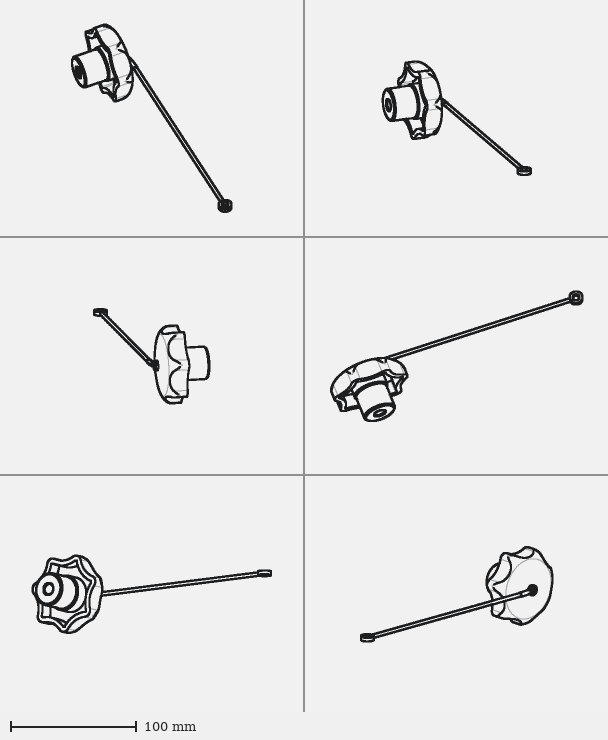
import cadquery as cq
import math


lobe_count = 7
head_radius = 31.5
lobe_radius = 5.0
scallop_radius = 20.0
crown_height = 19.0
dome_radius = 80.0
shoulder_radius = 10.0

wall = 4.0
pocket_depth = 11.0

hub_diameter = 26.0
hub_root_diameter = 28.0
hub_length = 21.0
hub_root_taper = 1.2
hub_chamfer = 1.2
bore_diameter = 8.38
bore_mouth_diameter = 10.0
bore_depth = 20.0

rivet_head_diameter = 8.0
rivet_head_top = 21.0
rivet_head_chamfer = 0.4
rivet_collar_diameter = 5.3
rivet_collar_top = 21.5

wire_diameter = 3.0
wire_y = 22.0
bend_radius = 65.0
bend_start_x = 15.3
bend_end_x = 0.0
sleeve_diameter = 3.5
sleeve_end_x = 4.6
eye_x = 180.8
eye_outer_diameter = 10.38
eye_hole_diameter = 5.3


def polar(radius, angle):
    """Point in the XZ plane; the angle is measured from +X toward +Z."""
    return (radius * math.cos(angle), radius * math.sin(angle))


def face_plane(y):
    """Plane at height y whose local axes are X and Z and whose normal is -Y."""
    return cq.Workplane("XZ", origin=(0, y, 0))


def disc(diameter, y_low, y_high):
    return face_plane(y_high).circle(diameter / 2).extrude(y_high - y_low)


def star_outline(y):
    """Rounded lobes joined by tangent scallops, with one lobe pointing to -Z."""
    pitch = 2 * math.pi / lobe_count
    lobe_centre = head_radius - lobe_radius
    half_span = lobe_centre * math.sin(pitch / 2)
    centre_gap = scallop_radius + lobe_radius
    scallop_centre = lobe_centre * math.cos(pitch / 2) + math.sqrt(centre_gap**2 - half_span**2)
    valley_radius = scallop_centre - scallop_radius

    def tangent_point(valley_angle, side):
        lobe = polar(lobe_centre, valley_angle + side * pitch / 2)
        scallop = polar(scallop_centre, valley_angle)
        share = lobe_radius / centre_gap
        return tuple(a + share * (b - a) for a, b in zip(lobe, scallop))

    first_lobe = -math.pi / 2
    outline = face_plane(y).moveTo(*tangent_point(first_lobe - pitch / 2, 1))
    for index in range(lobe_count):
        lobe_angle = first_lobe + index * pitch
        valley_angle = lobe_angle + pitch / 2
        outline = outline.threePointArc(polar(head_radius, lobe_angle), tangent_point(valley_angle, -1))
        outline = outline.threePointArc(polar(valley_radius, valley_angle), tangent_point(valley_angle, 1))
    return outline.close()


def crown_envelope():
    """Turned body: shallow dome blending into a round shoulder that ends vertical at the rim."""
    dome_centre_y = crown_height - dome_radius
    shoulder_x = head_radius - shoulder_radius
    centre_distance = dome_radius - shoulder_radius
    shoulder_y = dome_centre_y + math.sqrt(centre_distance**2 - shoulder_x**2)
    blend_angle = math.asin(shoulder_x / centre_distance)

    def dome_point(angle):
        return (dome_radius * math.sin(angle), dome_centre_y + dome_radius * math.cos(angle))

    shoulder_angle = (math.pi / 2 - blend_angle) / 2
    shoulder_mid = (
        shoulder_x + shoulder_radius * math.cos(shoulder_angle),
        shoulder_y + shoulder_radius * math.sin(shoulder_angle),
    )
    profile = (
        cq.Workplane("XY")
        .lineTo(0, crown_height)
        .threePointArc(dome_point(blend_angle / 2), dome_point(blend_angle))
        .threePointArc(shoulder_mid, (head_radius, shoulder_y))
        .lineTo(head_radius, 0)
        .close()
    )
    return profile.revolve(360, (0, 0, 0), (0, 1, 0))


def knob_head():
    star = star_outline(crown_height).extrude(crown_height)
    pocket = star_outline(pocket_depth).offset2D(-wall).extrude(pocket_depth)
    return star.intersect(crown_envelope()).cut(pocket)


def hub():
    root_radius = hub_root_diameter / 2
    radius = hub_diameter / 2
    profile = (
        cq.Workplane("XY")
        .moveTo(0, pocket_depth)
        .lineTo(root_radius, pocket_depth)
        .lineTo(root_radius, 0)
        .lineTo(radius, -hub_root_taper)
        .lineTo(radius, hub_chamfer - hub_length)
        .lineTo(radius - hub_chamfer, -hub_length)
        .lineTo(0, -hub_length)
        .close()
    )
    return profile.revolve(360, (0, 0, 0), (0, 1, 0))


def bore():
    """Blind hole from the hub end with a 45 degree countersunk mouth."""
    radius = bore_diameter / 2
    mouth_radius = bore_mouth_diameter / 2
    bottom_y = bore_depth - hub_length
    profile = (
        cq.Workplane("XY")
        .moveTo(0, -hub_length)
        .lineTo(mouth_radius, -hub_length)
        .lineTo(radius, mouth_radius - radius - hub_length)
        .lineTo(radius, bottom_y)
        .lineTo(0, bottom_y)
        .close()
    )
    return profile.revolve(360, (0, 0, 0), (0, 1, 0))


def rivet():
    head = disc(rivet_head_diameter, pocket_depth, rivet_head_top)
    head = head.faces(">Y").chamfer(rivet_head_chamfer)
    return head.union(disc(rivet_collar_diameter, pocket_depth, rivet_collar_top))


def bend_section(diameter):
    return cq.Workplane("YZ", origin=(bend_start_x, wire_y, 0)).circle(diameter / 2)


def bend(diameter, end_x):
    """Round bar that leaves the straight wire tangentially and curves down to end_x."""
    bend_angle = math.asin((bend_start_x - end_x) / bend_radius)

    def bend_point(angle):
        drop = bend_radius * (1 - math.cos(angle))
        return (bend_start_x - bend_radius * math.sin(angle), wire_y - drop)

    path = (
        cq.Workplane("XY")
        .moveTo(*bend_point(0))
        .threePointArc(bend_point(bend_angle / 2), bend_point(bend_angle))
    )
    return bend_section(diameter).sweep(path)


def wire_arm():
    """Straight wire, its bend down into the rivet, and the thicker sleeve around the bend."""
    straight = bend_section(wire_diameter).extrude(eye_x - bend_start_x)
    sleeve = bend(sleeve_diameter, sleeve_end_x)
    return straight.union(bend(wire_diameter, bend_end_x)).union(sleeve)


def eye_disc(diameter):
    section = cq.Workplane("XY", origin=(eye_x, wire_y, 0)).circle(diameter / 2)
    return section.extrude(wire_diameter / 2, both=True)


knob = knob_head().union(hub()).cut(bore())
arm = wire_arm().union(eye_disc(eye_outer_diameter)).cut(eye_disc(eye_hole_diameter))
result = knob.union(rivet()).union(arm)